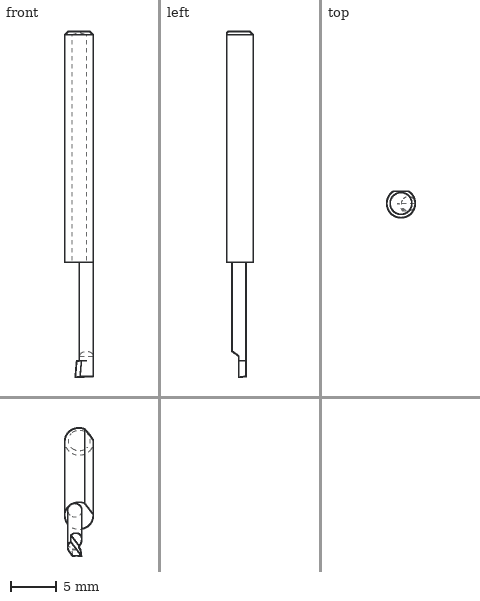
import cadquery as cq

total_length = 38.1
shank_diameter = 3.15
shank_bottom = 12.7
shank_flat_y = 1.353
top_chamfer = 0.4
neck_diameter = 1.55
relief_start_z = 2.9
relief_end_z = 2.35
head_height = 1.83
cutting_face_y = 0.05
tip_x = -0.42
head_top_x = -0.25
land_depth = 0.5
land_setback = 0.35
flank_setback = 0.55
end_relief_side = 0.1
end_relief_back = 0.08

shank_radius = shank_diameter / 2
neck_radius = neck_diameter / 2
neck_x = shank_radius - neck_radius


def make_shank():
    """Round shank, chamfered at the top, with a full-length flat on +Y."""
    shank = (
        cq.Workplane("XY", origin=(0, 0, shank_bottom))
        .circle(shank_radius)
        .extrude(total_length - shank_bottom)
        .faces(">Z")
        .chamfer(top_chamfer)
    )
    flat_cutter = cq.Workplane("XY").box(
        shank_diameter, shank_diameter, total_length, centered=(True, False, False)
    ).translate((0, shank_flat_y, 0))
    return shank.cut(flat_cutter)


def make_neck():
    """Eccentric round neck running from the shank to the tip."""
    return cq.Workplane("XY").center(neck_x, 0).circle(neck_radius).extrude(shank_bottom)


def head_outline(edge_x):
    """Two flank facets followed by a flat heel tangent to the neck."""
    return [
        (edge_x, cutting_face_y),
        (edge_x + land_setback, cutting_face_y - land_depth),
        (edge_x + flank_setback, -neck_radius),
        (neck_x, -neck_radius),
        (neck_x, cutting_face_y),
    ]


def make_head():
    """Cutting head whose side flank leans outward toward the tip."""
    return (
        cq.Workplane("XY")
        .polyline(head_outline(tip_x)).close()
        .workplane(offset=head_height)
        .polyline(head_outline(head_top_x)).close()
        .loft(ruled=True, combine=True)
    )


def cutting_face_cutter():
    """Removes the +Y side of the neck near the tip, ending in a ramp."""
    outline = [
        (cutting_face_y, -head_height),
        (cutting_face_y, relief_end_z),
        (neck_radius, relief_start_z),
        (neck_radius, -head_height),
    ]
    return cq.Workplane("YZ").polyline(outline).close().extrude(shank_diameter, both=True)


def end_relief_cutter():
    """Everything below the end plane, which touches Z = 0 only at the cutting corner."""
    side_slope = end_relief_side / (shank_radius - tip_x)
    back_slope = end_relief_back / (neck_radius + cutting_face_y)
    end_plane = cq.Plane(
        origin=(tip_x, cutting_face_y, 0), xDir=(1, 0, side_slope), normal=(-side_slope, back_slope, 1)
    )
    cutter_width = 4 * shank_diameter
    return cq.Workplane(end_plane).rect(cutter_width, cutter_width).extrude(-head_height)


tip = make_neck().union(make_head()).cut(cutting_face_cutter()).cut(end_relief_cutter())
result = make_shank().union(tip)